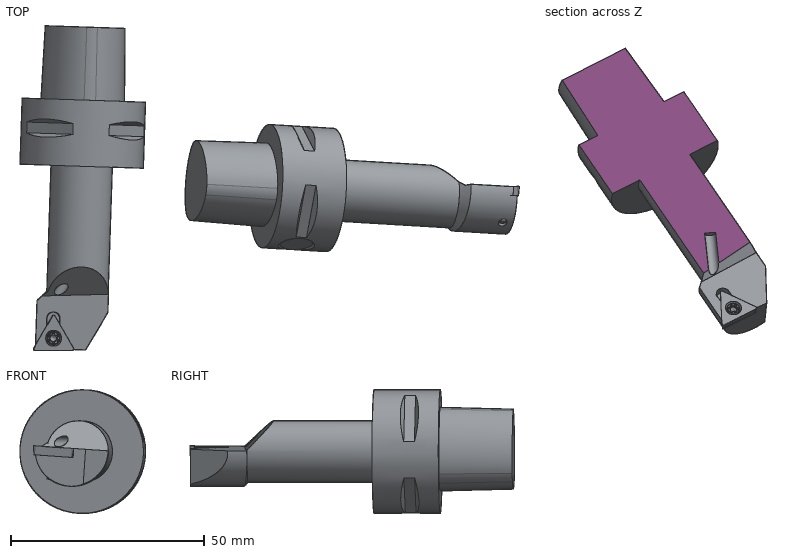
import cadquery as cq
import math

TOOL_YAW = -1.9
TOOL_ROLL = 8.0

FLANGE_D = 32.05
FLANGE_LENGTH = 17.2

TAPER_LENGTH = 18.9
TAPER_MEAN_R = 10.85
TAPER_ECCENTRICITY = 0.7
TAPER_PER_LENGTH = 1 / 40
LOBE_COUNT = 3
LOBE_HALF_ANGLE = 15.0
CURVE_STEPS = 6

SLOT_FROM_FACE = 7.6
GRIPPER_COUNT = 4
GRIPPER_DEPTH = 1.85
GRIPPER_FLOOR_WIDTH = 2.8
GRIPPER_MOUTH_WIDTH = 4.7

CHIP_SEAT_FLOOR_D = 8.5
CHIP_SEAT_MOUTH_D = 9.5
CHIP_SEAT_DEPTH = 0.6

SHANK_D = 16.0
FLARE_FROM_FACE = 49.8
HEAD_END_FROM_FACE = 64.7
HEAD_D = 18.5
HEAD_OFFSET_X = -1.2
HEAD_OFFSET_Z = 0.25

SEAT_ORIGIN = (-7.8, -61.65, 1.2)
SEAT_ROLL = 4.0

RAMP_ANGLE = 45.0
RAMP_TURN = 1.4
RAMP_FOOT_Y = 11.0

RELIEF_X = 8.3
RELIEF_Y = -3.0
RELIEF_ANGLE = 31.0

INSERT_INSCRIBED_R = 3.2
INSERT_THICKNESS = 2.35
INSERT_NOSE_R = 0.4
INSERT_CLEARANCE = 7.0
INSERT_HOLE_D = 2.8
INSERT_MOUTH_D = 4.1
INSERT_MOUTH_DEPTH = 1.0

APEX_RELIEF_D = 3.45
APEX_RELIEF_Y = 5.05

COOLANT_D = 2.8
COOLANT_POINT = (1.85, 12.6)
COOLANT_TARGET = (-5.5, -1.7, 1.3)
COOLANT_DEPTH = 10.1

SCREW_D = 2.2
SCREW_LENGTH = 8.4
SCREW_HEAD_D = 3.45
SCREW_TOP_D = 3.0
SCREW_TOP_SINK = 0.1
TORX_OUTER_D = 2.5
TORX_LOBE_D = 0.6
TORX_LOBES = 6
TORX_DEPTH = 0.8
TORX_FLOOR_D = 1.7
TORX_FLOOR_DEPTH = 0.5

CUT = 50.5


def tool_section(from_face):
    """Workplane across the tool axis, facing -Y, at a distance in front of the flange's rear face."""
    return cq.Workplane(cq.Plane((0, -from_face, 0), (1, 0, 0), (0, -1, 0)))


def on_seat(shape):
    """Move a shape built in seat coordinates to its place on the tool."""
    return shape.rotate((0, 0, 0), (0, 1, 0), SEAT_ROLL).translate(SEAT_ORIGIN)


def polygon_point(angle, mean_r, y):
    """Point of the three-lobed constant-width curve whose normal has the given angle from a lobe."""
    a = math.radians(angle)
    support = mean_r + TAPER_ECCENTRICITY * math.cos(LOBE_COUNT * a)
    slope = -LOBE_COUNT * TAPER_ECCENTRICITY * math.sin(LOBE_COUNT * a)
    x = support * math.sin(a) + slope * math.cos(a)
    z = support * math.cos(a) - slope * math.sin(a)
    return cq.Vector(x, y, z)


def polygon_wire(mean_r, y):
    pitch = 360 / LOBE_COUNT
    edges = []
    for lobe in range(LOBE_COUNT):
        start = lobe * pitch - LOBE_HALF_ANGLE
        middle = lobe * pitch + LOBE_HALF_ANGLE
        for first, last in ((start, middle), (middle, start + pitch)):
            span = (last - first) / CURVE_STEPS
            points = [polygon_point(first + i * span, mean_r, y) for i in range(CURVE_STEPS + 1)]
            edges.append(cq.Edge.makeSpline(points))
    return cq.Wire.assembleEdges(edges)


def make_taper():
    end_r = TAPER_MEAN_R - TAPER_LENGTH * TAPER_PER_LENGTH
    wires = [polygon_wire(TAPER_MEAN_R, 0), polygon_wire(end_r, TAPER_LENGTH)]
    return cq.Workplane(cq.Solid.makeLoft(wires, True))


def gripper_slot():
    """Straight slot with flared sides across the top of the flange."""
    floor_z = FLANGE_D / 2 - GRIPPER_DEPTH
    flare = (GRIPPER_MOUTH_WIDTH - GRIPPER_FLOOR_WIDTH) / 2
    cutter_half_width = GRIPPER_FLOOR_WIDTH / 2 + 2 * flare
    cutter_top = floor_z + 2 * GRIPPER_DEPTH
    profile = [
        (-GRIPPER_FLOOR_WIDTH / 2, floor_z),
        (GRIPPER_FLOOR_WIDTH / 2, floor_z),
        (cutter_half_width, cutter_top),
        (-cutter_half_width, cutter_top),
    ]
    slot = cq.Workplane("YZ").polyline(profile).close().extrude(FLANGE_D / 2, both=True)
    return slot.translate((0, -SLOT_FROM_FACE, 0))


def chip_seat_cutter():
    """Shallow round recess with a conical wall in the bottom of the flange."""
    floor_r = CHIP_SEAT_FLOOR_D / 2
    flare = (CHIP_SEAT_MOUTH_D - CHIP_SEAT_FLOOR_D) / 2
    floor = cq.Vector(0, -SLOT_FROM_FACE, CHIP_SEAT_DEPTH - FLANGE_D / 2)
    cone = cq.Solid.makeCone(floor_r, floor_r + flare, CHIP_SEAT_DEPTH, floor, cq.Vector(0, 0, -1))
    return cq.Workplane(cone)


def make_flange():
    flange = tool_section(0).circle(FLANGE_D / 2).extrude(FLANGE_LENGTH)
    pitch = 360 / GRIPPER_COUNT
    for i in range(GRIPPER_COUNT):
        flange = flange.cut(gripper_slot().rotate((0, 0, 0), (0, 1, 0), (i + 0.5) * pitch))
    return flange.cut(chip_seat_cutter())


def make_shank():
    shank_length = FLARE_FROM_FACE - FLANGE_LENGTH
    return tool_section(FLANGE_LENGTH).circle(SHANK_D / 2).extrude(shank_length)


def make_head():
    """Eccentric cylinder whose rear end is a 45 degree cone around the shank axis."""
    length = HEAD_END_FROM_FACE - FLARE_FROM_FACE
    cone = (
        tool_section(FLARE_FROM_FACE)
        .circle(SHANK_D / 2)
        .workplane(offset=length)
        .circle(SHANK_D / 2 + length)
        .loft()
    )
    cylinder = (
        tool_section(FLARE_FROM_FACE)
        .center(HEAD_OFFSET_X, HEAD_OFFSET_Z)
        .circle(HEAD_D / 2)
        .extrude(length)
    )
    return cone.intersect(cylinder)


def ramp_cutter():
    """Everything above the seat, ending at the rear in a sloping ramp."""
    run = CUT / math.tan(math.radians(RAMP_ANGLE))
    profile = [(0, 0), (run, CUT), (-CUT, CUT), (-CUT, 0)]
    cutter = cq.Workplane("YZ").polyline(profile).close().extrude(CUT, both=True)
    return cutter.rotate((0, 0, 0), (0, 0, 1), RAMP_TURN).translate((0, RAMP_FOOT_Y, 0))


def side_relief_cutter():
    cutter = cq.Workplane("XY").rect(CUT, 2 * CUT).extrude(CUT, both=True).translate((CUT / 2, 0, 0))
    return cutter.rotate((0, 0, 0), (0, 0, 1), -RELIEF_ANGLE).translate((RELIEF_X, RELIEF_Y, 0))


def apex_relief_cutter():
    slot = cq.Workplane("XY").workplane(offset=-INSERT_THICKNESS)
    slot = slot.center(0, APEX_RELIEF_Y).circle(APEX_RELIEF_D / 2).extrude(INSERT_THICKNESS)
    side = cq.Workplane("XY").box(APEX_RELIEF_D, APEX_RELIEF_D / 2, INSERT_THICKNESS, (True, False, False))
    return slot.union(side.translate((0, APEX_RELIEF_Y - APEX_RELIEF_D / 2, -INSERT_THICKNESS)))


def pocket_cutter():
    """Straight-walled recess under the insert's outline, open toward the front."""
    outline = insert_prism()
    return outline.union(outline.translate((0, -INSERT_NOSE_R, 0)))


def coolant_cutter():
    x, y = COOLANT_POINT
    mouth = cq.Vector(x, y, (y - RAMP_FOOT_Y) * math.tan(math.radians(RAMP_ANGLE)))
    aim = (cq.Vector(*COOLANT_TARGET) - mouth).normalized()
    start = mouth - aim * COOLANT_DEPTH
    length = COOLANT_DEPTH + COOLANT_D
    return cq.Workplane(cq.Solid.makeCylinder(COOLANT_D / 2, length, start, aim))


def make_holder():
    coupling = make_taper().union(make_flange()).rotate((0, 0, 0), (0, 1, 0), TOOL_ROLL)
    holder = coupling.union(make_shank()).union(make_head())
    holder = holder.rotate((0, 0, 0), (0, 0, 1), TOOL_YAW)
    screw_hole = cq.Workplane("XY").circle(SCREW_D / 2).extrude(-CUT)
    cutters = [
        ramp_cutter(),
        side_relief_cutter(),
        pocket_cutter(),
        apex_relief_cutter(),
        coolant_cutter(),
        screw_hole,
    ]
    for cutter in cutters:
        holder = holder.cut(on_seat(cutter))
    return holder


def insert_prism():
    """Triangular prism with rounded corners, top face on the seat plane, front edge along X."""
    corner_r = 2 * INSERT_INSCRIBED_R
    corners = []
    for angle in (90, 210, 330):
        a = math.radians(angle)
        corners.append((corner_r * math.cos(a), corner_r * math.sin(a)))
    prism = cq.Workplane("XY").polyline(corners).close().extrude(-INSERT_THICKNESS)
    return prism.edges("|Z").fillet(INSERT_NOSE_R)


def insert_blank():
    """The insert's outline, narrowing downward by the clearance angle."""
    outline = insert_prism().faces(">Z").wires().toPending()
    return outline.extrude(-INSERT_THICKNESS, combine=False, taper=INSERT_CLEARANCE)


def make_insert():
    bore = cq.Workplane("XY").circle(INSERT_HOLE_D / 2).extrude(-INSERT_THICKNESS)
    mouth_floor = cq.Vector(0, 0, -INSERT_MOUTH_DEPTH)
    mouth = cq.Solid.makeCone(INSERT_HOLE_D / 2, INSERT_MOUTH_D / 2, INSERT_MOUTH_DEPTH, mouth_floor)
    return on_seat(insert_blank().cut(bore).cut(cq.Workplane(mouth)))


def torx_lobes(socket):
    """Lobes of the star socket, one of them pointing straight back."""
    ring_r = (TORX_OUTER_D - TORX_LOBE_D) / 2
    return socket.polarArray(ring_r, 90, 360, TORX_LOBES).circle(TORX_LOBE_D / 2).extrude(TORX_DEPTH)


def make_screw():
    mouth_slope = INSERT_MOUTH_DEPTH / (INSERT_MOUTH_D - INSERT_HOLE_D)
    head_sink = (INSERT_MOUTH_D - SCREW_HEAD_D) * mouth_slope
    profile = [
        (0, -SCREW_TOP_SINK),
        (SCREW_TOP_D / 2, -SCREW_TOP_SINK),
        (SCREW_HEAD_D / 2, -head_sink),
        (INSERT_HOLE_D / 2, -INSERT_MOUTH_DEPTH),
        (INSERT_HOLE_D / 2, -INSERT_THICKNESS),
        (SCREW_D / 2, -INSERT_THICKNESS),
        (SCREW_D / 2, -SCREW_LENGTH),
        (0, -SCREW_LENGTH),
    ]
    screw = cq.Workplane("XZ").polyline(profile).close().revolve(360, (0, 0), (0, 1))
    floor_z = -SCREW_TOP_SINK - TORX_DEPTH
    socket = cq.Workplane("XY").workplane(offset=floor_z)
    recess = socket.circle((TORX_OUTER_D - TORX_LOBE_D) / 2).extrude(TORX_DEPTH)
    floor_cone = cq.Solid.makeCone(
        TORX_FLOOR_D / 2, 0, TORX_FLOOR_DEPTH, cq.Vector(0, 0, floor_z), cq.Vector(0, 0, -1)
    )
    return on_seat(screw.cut(recess).cut(torx_lobes(socket)).cut(cq.Workplane(floor_cone)))


holder = make_holder()
insert = make_insert()
screw = make_screw()

result = cq.Compound.makeCompound([holder.val(), insert.val(), screw.val()])